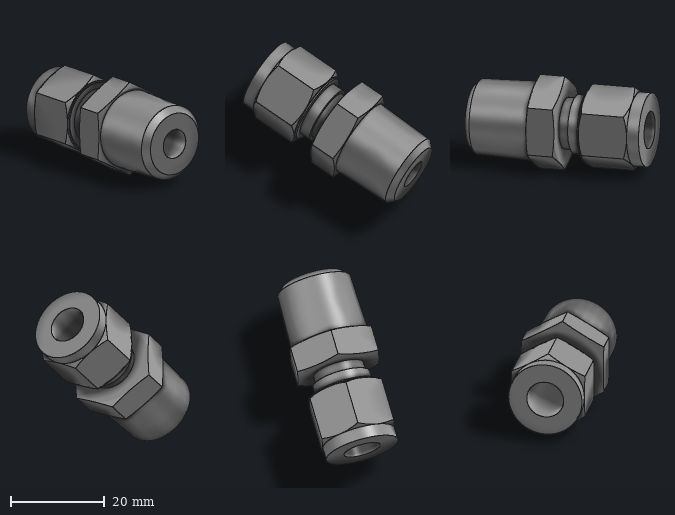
import cadquery as cq
import math

length = 39.2

nut_across_flats = 16.0
nut_radius = nut_across_flats / 2
collar_end = 2.65
nut_hex_end = 13.5
nut_chamfer_angle = 30.0
nut_lip_end = 13.85
nut_lip_radius = 7.65

shoulder_radius = 6.35
shoulder_end = 16.35
neck_radius = 5.55
body_hex_start = 18.6

body_across_flats = 18.0
body_hex_end = 24.95
body_face_radius = 8.9
body_chamfer_angle = 15.0

thread_root_length = 0.5
thread_chamfer = 1.37
thread_end_radius = 8.15
thread_taper = 1 / 16

socket_radius = 4.0
socket_depth = body_hex_start
bore_radius = 3.18


def revolved(profile):
    """Turn a list of (x, radius) points about the X axis, closing it along the axis."""
    points = [(profile[0][0], 0), *profile, (profile[-1][0], 0)]
    return cq.Workplane("XY").polyline(points).close().revolve(360, (0, 0, 0), (1, 0, 0))


def cylinder(start, end, radius):
    return revolved([(start, radius), (end, radius)])


def chamfered_hexagon(start, end, across_flats, face_radius, chamfer_angle):
    """Hexagon with corners at +Z and -Z, its ends cut by cones that leave round end faces."""
    corner_radius = across_flats / math.sqrt(3)
    chamfer_length = (corner_radius - face_radius) * math.tan(math.radians(chamfer_angle))
    hexagon = (
        cq.Workplane("YZ", origin=(start, 0, 0))
        .polygon(6, 2 * corner_radius)
        .extrude(end - start)
        .rotate((0, 0, 0), (1, 0, 0), 30)
    )
    envelope = revolved([
        (start, face_radius),
        (start + chamfer_length, corner_radius),
        (end - chamfer_length, corner_radius),
        (end, face_radius),
    ])
    return hexagon.intersect(envelope)


def make_nut():
    collar = cylinder(0, collar_end, nut_radius)
    hexagon = chamfered_hexagon(
        collar_end, nut_hex_end, nut_across_flats, nut_radius, nut_chamfer_angle
    )
    lip = cylinder(nut_hex_end, nut_lip_end, nut_lip_radius)
    return collar.union(hexagon).union(lip)


def make_body():
    shoulder = cylinder(nut_lip_end, shoulder_end, shoulder_radius)
    neck = cylinder(shoulder_end, body_hex_start, neck_radius)
    hexagon = chamfered_hexagon(
        body_hex_start, body_hex_end, body_across_flats,
        body_face_radius, body_chamfer_angle,
    )
    return shoulder.union(neck).union(hexagon)


def make_thread():
    taper_start = body_hex_end + thread_root_length
    taper_end = length - thread_chamfer
    start_radius = thread_end_radius + (taper_end - taper_start) * thread_taper / 2
    return revolved([
        (body_hex_end, start_radius),
        (taper_start, start_radius),
        (taper_end, thread_end_radius),
        (length, thread_end_radius - thread_chamfer),
    ])


socket = cylinder(0, socket_depth, socket_radius)
bore = cylinder(0, length, bore_radius)
result = make_nut().union(make_body()).union(make_thread()).cut(bore).cut(socket)